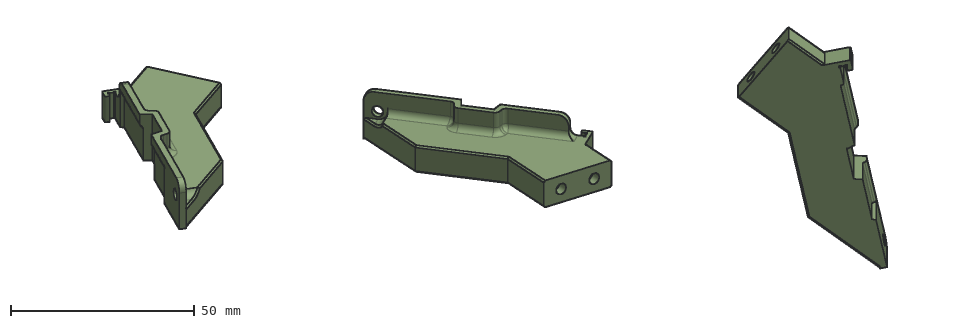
import cadquery as cq
import math

length = 73.05
plate_height = 8.2
wall_height = 14.7
wall_thickness = 2.0
overshoot = 0.7

slant_angle = math.radians(40)
head_width = 22.5
head_tip_y = 12.0
back_y = 18.05
arm_left_x = 9.5
edge_chamfer = 0.5

wall_left_x = 15.0
wall_corner_radius = 3.1
wall_foot_radius = 2.0
wall_bend_radius = 1.45

notch_center_x = 40.3
notch_depth = 3.35
notch_floor_width = 9.3
notch_side_angle = math.radians(15)

hook_front_y = -3.3
hook_right_x = 12.6
hook_slot_x = 10.95
hook_lip_thickness = 1.5
hook_lip_radius = 0.45
hook_corner_chamfer = 0.3
hook_relief_radius = 0.3

recess_left_x = 16.15
recess_right_x = 58.45
recess_depth = 1.0
recess_side_run = 0.5
recess_top_z = 11.9
recess_step_height = 2.3

hole_diameter = 3.2
wall_hole_x = 69.05
wall_hole_z = 8.85
head_hole_spacing = 10.95
head_hole_z = 4.1
head_hole_depth = 3.2

clearance_floor_z = 6.5
clearance_run = 2.9

head_top = (head_width * math.sin(slant_angle), head_tip_y + head_width * math.cos(slant_angle))
slope = math.tan(slant_angle)
back_left_x = head_top[0] + (head_top[1] - back_y) / slope
back_right_x = length - (back_y - wall_thickness) / slope
arm_top_y = head_tip_y - arm_left_x * slope


def make_plate():
    """Flat body with its angled head and square front edge."""
    outline = [
        (0, head_tip_y),
        head_top,
        (back_left_x, back_y),
        (back_right_x, back_y),
        (length, wall_thickness),
        (length, 0),
        (arm_left_x, 0),
        (arm_left_x, arm_top_y),
    ]
    return cq.Workplane("XY").polyline(outline).close().extrude(plate_height)


def notch_outline(offset, front_y):
    """Trapezoid parallel to the notch, grown by offset and open down to front_y."""
    top_y = notch_depth + offset
    corner_shift = offset * math.tan(math.pi / 4 - notch_side_angle / 2)
    top_half = notch_floor_width / 2 + corner_shift
    bottom_half = top_half + (top_y - front_y) * math.tan(notch_side_angle)
    return [
        (notch_center_x - bottom_half, front_y),
        (notch_center_x - top_half, top_y),
        (notch_center_x + top_half, top_y),
        (notch_center_x + bottom_half, front_y),
    ]


def make_wall():
    """Upright wall that bends around the notch, with rounded upper corners."""
    outline = [(wall_left_x, 0), (wall_left_x, wall_thickness)]
    outline += notch_outline(wall_thickness, wall_thickness)
    outline += [(length, wall_thickness), (length, 0)]
    wall = cq.Workplane("XY").polyline(outline).close().extrude(wall_height)
    bend_half = notch_outline(wall_thickness, wall_thickness)[3][0] - notch_center_x + overshoot
    bends = cq.selectors.BoxSelector(
        (notch_center_x - bend_half, wall_thickness / 2, 0),
        (notch_center_x + bend_half, back_y, wall_height),
    )
    wall = wall.edges("|Z").edges(bends).fillet(wall_bend_radius)
    return wall.edges("|Y and >Z").fillet(wall_corner_radius)


def make_hook():
    """Arm at the front left ending in a short rounded lip."""
    width = hook_right_x - arm_left_x
    hook = cq.Workplane("XY").box(width, -hook_front_y, plate_height, centered=False)
    hook = hook.translate((arm_left_x, hook_front_y, 0))
    hook = hook.edges("|Z and <X and <Y").chamfer(hook_corner_chamfer)
    lip_y = hook_front_y + hook_lip_thickness
    slot = cq.Workplane("XY").box(width, -lip_y, plate_height, centered=False)
    hook = hook.cut(slot.translate((hook_slot_x, lip_y, 0)))
    return hook.edges("|Z and >X").fillet(hook_lip_radius)


def make_hook_reliefs():
    """Small round reliefs in the two inner corners of the hook slot."""
    corners = [(hook_slot_x, 0), (hook_slot_x, hook_front_y + hook_lip_thickness)]
    return cq.Workplane("XY").pushPoints(corners).circle(hook_relief_radius).extrude(plate_height)


def make_notch():
    outline = notch_outline(0, 0)
    outline = [(outline[0][0], -overshoot)] + outline + [(outline[3][0], -overshoot)]
    return cq.Workplane("XY").polyline(outline).close().extrude(wall_height)


def make_recess():
    """Recess with an S-shaped upper step and slanted ends."""
    half_step = recess_step_height / 2
    half_depth = recess_depth / 2
    mid_z = recess_top_z - half_step
    step_bottom_z = recess_top_z - recess_step_height
    profile = (
        cq.Workplane("YZ")
        .moveTo(recess_depth, 0)
        .lineTo(recess_depth, step_bottom_z)
        .tangentArcPoint((half_depth, mid_z), relative=False)
        .tangentArcPoint((0, recess_top_z), relative=False)
        .lineTo(-overshoot, recess_top_z)
        .lineTo(-overshoot, 0)
        .close()
    )
    stepped = profile.extrude(length)
    ends = [
        (recess_left_x, -overshoot),
        (recess_left_x, 0),
        (recess_left_x + recess_side_run, recess_depth),
        (recess_right_x - recess_side_run, recess_depth),
        (recess_right_x, 0),
        (recess_right_x, -overshoot),
    ]
    return stepped.intersect(cq.Workplane("XY").polyline(ends).close().extrude(wall_height))


def make_clearance():
    """Scooped step behind the wall hole, flat from the hole axis to the right end."""
    drop = plate_height - clearance_floor_z
    radius = (clearance_run ** 2 + drop ** 2) / (2 * drop)
    center_z = clearance_floor_z + radius
    half_angle = math.asin(clearance_run / radius) / 2
    arc_middle = (wall_hole_x - radius * math.sin(half_angle), center_z - radius * math.cos(half_angle))
    return (
        cq.Workplane("XZ", origin=(0, back_y, 0))
        .moveTo(wall_hole_x - clearance_run, wall_height)
        .lineTo(wall_hole_x - clearance_run, plate_height)
        .threePointArc(arc_middle, (wall_hole_x, clearance_floor_z))
        .lineTo(length + overshoot, clearance_floor_z)
        .lineTo(length + overshoot, wall_height)
        .close()
        .extrude(back_y - wall_thickness)
    )


def side_selector(start, end):
    """Plate side face that runs between two plan points."""
    middle = ((start[0] + end[0]) / 2, (start[1] + end[1]) / 2, plate_height / 2)
    return cq.selectors.NearestToPointSelector(middle)


def chamfer_plate(plate):
    """Bevel the rims of the back sides and of the front left side of the head."""
    sides = (
        side_selector(head_top, (back_left_x, back_y))
        + side_selector((back_left_x, back_y), (back_right_x, back_y))
        + side_selector((back_right_x, back_y), (length, wall_thickness))
        + side_selector((0, head_tip_y), (arm_left_x, arm_top_y))
    )
    return plate.faces(sides).edges("not |Z").chamfer(edge_chamfer)


def fillet_wall_foot(body):
    """Round the inside corner where the wall rises from the plate."""
    margin = 0.1
    foot = cq.selectors.BoxSelector(
        (wall_left_x - margin, 0, plate_height - margin),
        (length - margin, notch_depth + wall_thickness + margin, plate_height + margin),
    )
    return body.edges(foot).fillet(wall_foot_radius)


def make_wall_hole():
    return (
        cq.Workplane("XZ", origin=(wall_hole_x, wall_thickness + overshoot, wall_hole_z))
        .circle(hole_diameter / 2)
        .extrude(wall_thickness + 2 * overshoot)
    )


def make_head_holes():
    """Two blind holes drilled square into the end face of the head."""
    end_face = cq.Plane(
        origin=(head_top[0] / 2, (head_top[1] + head_tip_y) / 2, head_hole_z),
        xDir=(math.sin(slant_angle), math.cos(slant_angle), 0),
        normal=(math.cos(slant_angle), -math.sin(slant_angle), 0),
    )
    centers = [(-head_hole_spacing / 2, 0), (head_hole_spacing / 2, 0)]
    return cq.Workplane(end_face).pushPoints(centers).circle(hole_diameter / 2).extrude(head_hole_depth)


plate = make_plate()
wall = make_wall()
clearance = make_clearance()
stepped_plate = plate.cut(clearance)
bevel_waste = stepped_plate.cut(chamfer_plate(stepped_plate)).cut(wall)

body = fillet_wall_foot(plate.union(wall))
body = body.cut(clearance).cut(bevel_waste).union(make_hook())
for cutter in (make_notch(), make_recess(), make_wall_hole(), make_head_holes(), make_hook_reliefs()):
    body = body.cut(cutter)
result = body